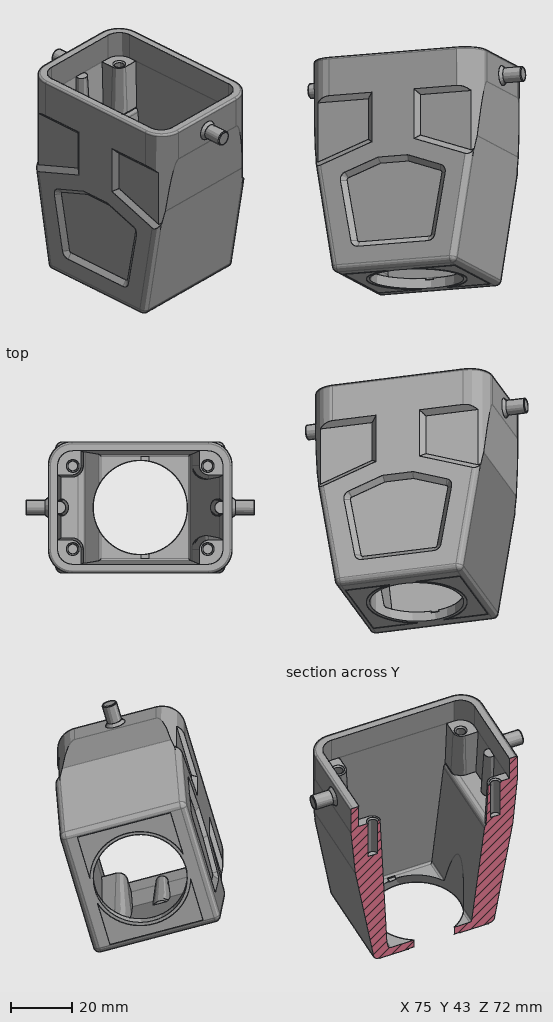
import cadquery as cq
import math

height = 72.0
half_width = 30.1
half_depth = 21.5
corner_radius = 7.7
upper_bottom_z = -36.5
rim_fillet = 0.7
bend_upper_z = -10.8
bend_lower_z = -29.7
half_width_bend = 28.5
half_width_bottom = 21.6
edge_fillet = 2.0
pad_height = 0.2
body_bottom_z = pad_height - height

recess_depth = 1.5
recess_wall_angle = 50.0
recess_slope = 0.354
grip_inner_x = 7.4
grip_top_z = -13.0
grip_low_z = -29.6
panel_top_z = -34.9
panel_bottom_z = -64.2
panel_top_x = 5.2
panel_shoulder_x = 18.8
panel_bottom_x = 14.4
panel_corner_radius = 2.5

pin_tip_x = 37.5
pin_radius = 2.45
pin_z = -6.1
pin_chamfer = 0.3
collar_radius = 3.3
collar_length = 1.1

mouth_half_x = 27.1
mouth_half_y = 18.6
mouth_corner_radius = 5.0
ledge_z = -9.0
floor_z = -68.5
floor_half_y = 17.4
boss_face_x = 19.4
shelf_z = -26.0
shelf_outer_x = 25.9
shelf_inner_x = 18.3
floor_left_x = -13.4
floor_right_x = 16.3
bay_half_y = 10.7
boss_corner_radius = 3.0
boss_draft = 2.5
shelf_edge_radius = 2.3
floor_fillet = 0.7
wall_overlap = 0.5
boss_hole_x = 22.1
boss_hole_y = 13.6
boss_hole_radius = 1.6
boss_hole_depth = 15.0
boss_hole_chamfer = 0.5
post_x = 26.4
post_radius = 2.0
post_base_radius = 3.4
post_top_z = ledge_z
post_bottom_z = -35.0

entry_radius = 15.4
entry_relief_radius = 16.5
groove_x = 1.6
groove_width = 2.6
groove_depth = 0.5
pad_half_y = 15.85
pad_half_x = half_width_bottom - edge_fillet

overshoot = 10.0


def prism_along_y(points, half_length):
    """Extrude an XZ outline symmetrically about the XZ plane."""
    return cq.Workplane("XZ").polyline(points).close().extrude(half_length, both=True)


def mirrored_outline(right_side):
    """Close a list of +X points with their mirror images."""
    return right_side + [(-x, z) for x, z in reversed(right_side)]


def taper_profile():
    """Square-cornered block with the tapering end walls of the whole hood."""
    return prism_along_y(
        mirrored_outline([
            (half_width, 0),
            (half_width, bend_upper_z),
            (half_width_bend, bend_lower_z),
            (half_width_bottom, body_bottom_z),
        ]),
        half_depth,
    )


def recess_face():
    return cq.Workplane("XZ", origin=(0, -half_depth, 0))


def grip_outline():
    outer_x = half_width + 2 * overshoot
    outer_z = grip_low_z - recess_slope * (outer_x - grip_inner_x)
    return [
        (grip_inner_x, grip_top_z),
        (outer_x, grip_top_z),
        (outer_x, outer_z),
        (grip_inner_x, grip_low_z),
    ]


def grip_tools(depth):
    """Grip recesses at all four corners, their sloping walls narrowing inward."""
    outline = recess_face().polyline(grip_outline()).close()
    right = outline.extrude(-depth, taper=recess_wall_angle)
    front = right.union(right.mirror("YZ"))
    return front.union(front.mirror("XZ"))


def upper_body():
    block = (
        cq.Workplane("XY")
        .rect(2 * half_width, 2 * half_depth)
        .extrude(upper_bottom_z)
        .edges("|Z").fillet(corner_radius)
    )
    return block.intersect(taper_profile()).faces(">Z").edges().fillet(rim_fillet)


def lower_body():
    """Square-cornered skirt; its top follows the lower walls of the grip recesses."""
    skirt_top_z = grip_low_z + recess_slope * grip_inner_x
    below = cq.Workplane("XY", origin=(0, 0, skirt_top_z)).rect(
        4 * half_width, 4 * half_depth).extrude(-height)
    skirt = taper_profile()
    skirt = skirt.faces("<Y or >Y or <Z").edges("not(>Z)").fillet(edge_fillet)
    return skirt.intersect(below).cut(grip_tools(corner_radius))


def panel_tool():
    """Six-cornered panel recess in the -Y face, rounded at the shoulders and bottom."""
    shoulder_z = panel_top_z - recess_slope * (panel_shoulder_x - panel_top_x)
    corners = mirrored_outline([
        (panel_top_x, panel_top_z),
        (panel_shoulder_x, shoulder_z),
        (panel_bottom_x, panel_bottom_z),
    ])
    outline = (
        cq.Sketch()
        .polygon(corners + corners[:1])
        .vertices("<X or >X or <Y")
        .fillet(panel_corner_radius)
    )
    return recess_face().placeSketch(outline).extrude(-recess_depth, taper=recess_wall_angle)


def outer_body():
    panel = panel_tool()
    return (
        upper_body()
        .union(lower_body())
        .cut(grip_tools(recess_depth))
        .cut(panel)
        .cut(panel.mirror("XZ"))
    )


def locking_pin():
    """+X pin with a conical collar at its root."""
    root_x = (mouth_half_x + half_width) / 2
    pin = (
        cq.Workplane("YZ", origin=(root_x, 0, pin_z))
        .circle(pin_radius)
        .extrude(pin_tip_x - root_x)
        .faces(">X").chamfer(pin_chamfer)
    )
    collar = (
        cq.Workplane("YZ", origin=(half_width, 0, pin_z))
        .circle(collar_radius)
        .workplane(offset=collar_length)
        .circle(pin_radius)
        .loft()
    )
    return pin.union(collar)


def mouth():
    """Round-cornered opening from the rim down to the ledge."""
    return (
        cq.Workplane("XY")
        .rect(2 * mouth_half_x, 2 * mouth_half_y)
        .extrude(ledge_z)
        .edges("|Z").fillet(mouth_corner_radius)
    )


def well():
    """Space below the ledge: shelf and steep wall at -X, ramp at +X, drafted sides."""
    wall_angle = math.atan2(shelf_inner_x + floor_left_x, shelf_z - floor_z)
    tangent_length = shelf_edge_radius * math.tan(math.pi / 4 - wall_angle / 2)
    wall_tangent = (
        -shelf_inner_x + tangent_length * math.sin(wall_angle),
        shelf_z - tangent_length * math.cos(wall_angle),
    )
    lengthwise = (
        cq.Workplane("XZ")
        .moveTo(-mouth_half_x, ledge_z)
        .lineTo(-shelf_outer_x, shelf_z)
        .lineTo(-shelf_inner_x - tangent_length, shelf_z)
        .tangentArcPoint(wall_tangent, relative=False)
        .lineTo(floor_left_x, floor_z)
        .lineTo(floor_right_x, floor_z)
        .lineTo(shelf_outer_x, shelf_z)
        .lineTo(mouth_half_x, ledge_z)
        .close()
        .extrude(half_depth, both=True)
    )
    crosswise = (
        cq.Workplane("YZ")
        .polyline([
            (-mouth_half_y, ledge_z),
            (mouth_half_y, ledge_z),
            (floor_half_y, floor_z),
            (-floor_half_y, floor_z),
        ])
        .close()
        .extrude(half_width, both=True)
    )
    return lengthwise.intersect(crosswise).faces("<Z").edges().fillet(floor_fillet)


def fittings_envelope():
    """Region that reaches slightly into the cavity walls; fittings are trimmed to it."""
    return prism_along_y(
        [
            (-mouth_half_x - wall_overlap, ledge_z),
            (mouth_half_x + wall_overlap, ledge_z),
            (shelf_outer_x + wall_overlap, shelf_z),
            (floor_right_x + wall_overlap, floor_z),
            (0, floor_z),
            (0, shelf_z - wall_overlap),
            (-shelf_outer_x - wall_overlap, shelf_z - wall_overlap),
        ],
        mouth_half_y + wall_overlap,
    )


def boss():
    """+X, +Y screw boss that thickens downward."""
    size_x = mouth_half_x + overshoot - boss_face_x
    size_y = mouth_half_y + overshoot - bay_half_y
    outline = (
        cq.Sketch()
        .rect(size_x, size_y)
        .vertices()
        .fillet(boss_corner_radius)
    )
    return (
        cq.Workplane("XY", origin=(boss_face_x + size_x / 2, bay_half_y + size_y / 2, ledge_z))
        .placeSketch(outline)
        .extrude(floor_z - ledge_z, taper=-boss_draft)
    )


def post():
    """+X wall post, flaring from its flat top down to the ramp."""
    return (
        cq.Workplane("XY", origin=(post_x, 0, post_top_z))
        .circle(post_radius)
        .workplane(offset=post_bottom_z - post_top_z)
        .circle(post_base_radius)
        .loft()
    )


def fittings():
    right = boss().union(boss().mirror("XZ")).union(post())
    return right.union(right.mirror("YZ")).intersect(fittings_envelope())


def boss_holes():
    centres = cq.Workplane("XY", origin=(0, 0, ledge_z)).rect(
        2 * boss_hole_x, 2 * boss_hole_y, forConstruction=True).vertices()
    drill = (
        cq.Workplane("XY")
        .circle(boss_hole_radius)
        .extrude(-boss_hole_depth)
    )
    sink = (
        cq.Workplane("XY")
        .circle(boss_hole_radius + boss_hole_chamfer)
        .workplane(offset=-boss_hole_chamfer)
        .circle(boss_hole_radius)
        .loft()
    )
    tool = drill.union(sink).val()
    return centres.eachpoint(lambda place: tool.moved(place), combine=False)


def entry_tool():
    """Entry bore, which also clips the foot of the -X wall, and its relief in the pad."""
    bottom = cq.Workplane("XY", origin=(0, 0, -height))
    through = bottom.circle(entry_radius).extrude(height + ledge_z)
    relief = bottom.circle(entry_relief_radius).extrude(pad_height)
    return through.union(relief)


def pad():
    return cq.Workplane("XY", origin=(0, 0, -height)).rect(
        2 * pad_half_x, 2 * pad_half_y).extrude(pad_height)


def entry_grooves():
    """Shallow grooves in the floor running from the entry to both side walls."""
    return (
        cq.Workplane("XY", origin=(groove_x, 0, floor_z))
        .rect(groove_width, 2 * (floor_half_y - floor_fillet))
        .extrude(-groove_depth)
    )


def build():
    pin = locking_pin()
    body = outer_body().union(pin).union(pin.mirror("YZ")).union(pad())
    body = body.cut(mouth()).cut(well()).union(fittings())
    return body.cut(boss_holes()).cut(entry_tool()).cut(entry_grooves())


result = build()